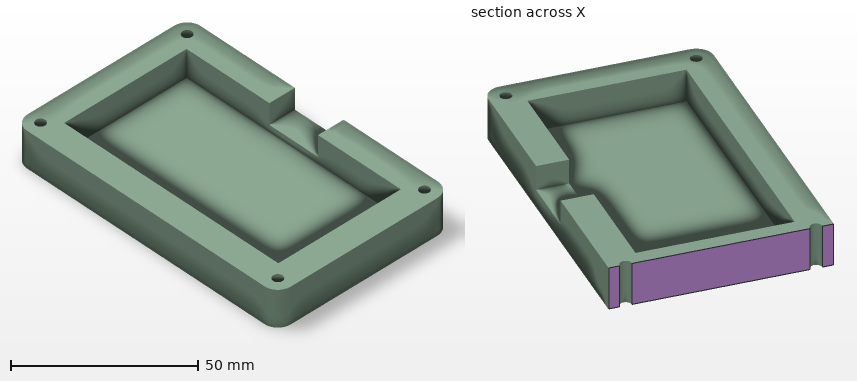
import cadquery as cq

length = 101.4
width = 64.2
height = 13.0
corner_radius = 5.0

wall = 9.4
floor_thickness = 3.0
pocket_length = length - 2 * wall
pocket_width = width - 2 * wall
pocket_depth = height - floor_thickness

notch_width = 18.8
notch_depth = 7.5

hole_diameter = 3.4
hole_spacing_x = length - 2 * corner_radius
hole_spacing_y = width - 2 * corner_radius


def make_block():
    """Plain block with rounded vertical edges, standing on Z = 0."""
    block = cq.Workplane("XY").box(length, width, height, centered=(True, True, False))
    return block.edges("|Z").fillet(corner_radius)


def make_pocket():
    """Volume removed for the rectangular pocket."""
    pocket = cq.Workplane("XY").workplane(offset=floor_thickness)
    return pocket.rect(pocket_length, pocket_width).extrude(pocket_depth)


def make_notch():
    """Volume removed for the notch, from the pocket out through the +Y side."""
    notch = cq.Workplane("XY").workplane(offset=height - notch_depth)
    return notch.center(0, width / 4).rect(notch_width, width / 2).extrude(notch_depth)


def make_screw_holes():
    """Four straight cylinders, one through each corner."""
    corners = cq.Workplane("XY").rect(hole_spacing_x, hole_spacing_y, forConstruction=True)
    return corners.vertices().circle(hole_diameter / 2).extrude(height)


result = make_block().cut(make_pocket()).cut(make_notch()).cut(make_screw_holes())